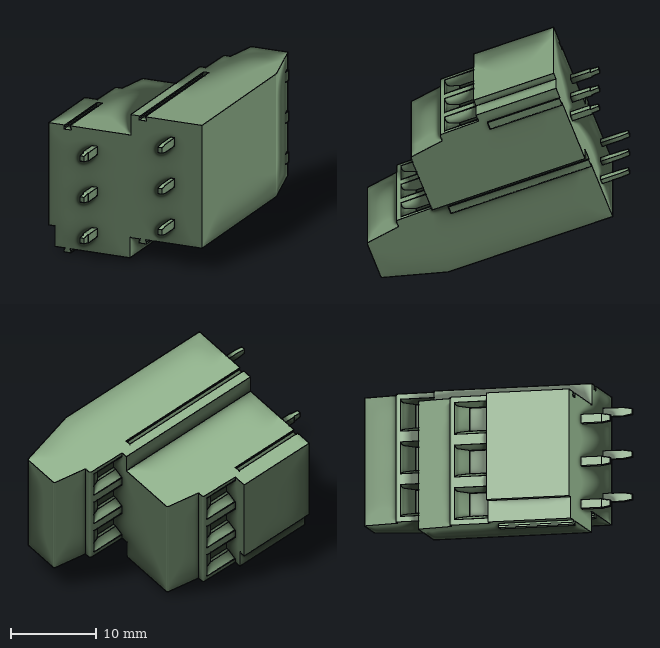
import cadquery as cq


POLES = 3
ROW_LENGTH = 15.25
PITCH = ROW_LENGTH / POLES
ROW_SHIFT = PITCH / 2

WIDTH = 19.85
HEIGHT = 28.2
TIER_STEP_X = 9.75
TIER_STEP_Y = 9.1
TIER_SPLIT_X = 10.62
FOOT_X_MIN = 0.8
FOOT_X_MAX = 10.52

LEDGE_Y = HEIGHT - 2 * TIER_STEP_Y
FACE_X_BOTTOM = 1.62
FACE_X_TOP = 1.7
FACE_TOP_Y = 14.9
SLOPE_X_BOTTOM = 2.55
SLOPE_X_TOP = 3.23
TIER_TOP_Y = HEIGHT - TIER_STEP_Y
EDGE_RADIUS = 0.25

BACK_TOP_X = 17.78
BACK_BOTTOM_Y = 20.57

ENTRY_TOP_Y = 14.3
ENTRY_WIDTH = 3.8
ENTRY_CORNER_X = 2.35
ENTRY_RADIUS = 0.45
HOLE_WIDTH = 2.8
HOLE_START_X = 2.8
HOLE_END_X = 3.17
HOLE_TOP_Y = 12.8

KEY_X = 2.4
KEY_NECK = 0.65
KEY_HEAD = 0.92
KEY_FLARE = 0.3
KEY_DEPTH = 0.5
LOW_KEY_LENGTH = 9.05
HIGH_KEY_LENGTH = 17.55

PIN_LENGTH = 3.5
PIN_SHANK = 2.47
PIN_DEPTH = 1.0
PIN_TIP_DEPTH = 0.65
PIN_TIP_WIDTH = 0.55
LOW_PIN_WIDTH = 0.73
LOW_PIN_X = 5.95
HIGH_PIN_X = 16.05

NUB_X = 18.25
NUB_TOP_Y = 27.4
NUB_WIDTH = 1.27


def slab(points, z_min, length):
    """Polygon in XY extruded along Z."""
    return cq.Workplane("XY").workplane(offset=z_min).polyline(points).close().extrude(length)


def block(x_min, x_max, y_min, y_max, z_min, z_max):
    """Box between the given limits."""
    size = (x_max - x_min, y_max - y_min, z_max - z_min)
    return cq.Workplane("XY").box(*size, centered=False).translate((x_min, y_min, z_min))


def round_edges(body, corners, z_mid):
    """Round the Z-parallel edges that pass through the given XY corners."""
    reach = 0.03
    for x, y in corners:
        around = cq.selectors.BoxSelector(
            (x - reach, y - reach, z_mid - ROW_LENGTH), (x + reach, y + reach, z_mid + ROW_LENGTH)
        )
        body = body.edges("|Z").edges(around).fillet(EDGE_RADIUS)
    return body


def tier_steps(dx, dy):
    """Stepped front of a tier, from its ledge up to its top edge."""
    steps = [
        (FACE_X_BOTTOM, LEDGE_Y),
        (FACE_X_TOP, FACE_TOP_Y),
        (SLOPE_X_BOTTOM, FACE_TOP_Y),
        (SLOPE_X_TOP, TIER_TOP_Y),
    ]
    return [(x + dx, y + dy) for x, y in steps]


def low_tier():
    """Row of the low tier, narrowed to its interlocking foot at the lower end."""
    steps = tier_steps(0, 0)
    outline = [(0, 0), (0, LEDGE_Y)] + steps + [(TIER_SPLIT_X, TIER_TOP_Y), (TIER_SPLIT_X, 0)]
    body = slab(outline, 0, ROW_LENGTH)
    body = round_edges(body, [steps[1], steps[3]], ROW_LENGTH / 2)
    body = body.cut(block(0, FOOT_X_MIN, 0, LEDGE_Y, 0, ROW_SHIFT))
    return body.cut(block(FOOT_X_MAX, TIER_SPLIT_X, 0, TIER_TOP_Y, 0, ROW_SHIFT))


def high_tier():
    """Row of the high tier, with its sloped back."""
    steps = tier_steps(TIER_STEP_X, TIER_STEP_Y)
    back_top = (BACK_TOP_X, HEIGHT)
    outline = [(TIER_SPLIT_X, 0), (TIER_SPLIT_X, TIER_TOP_Y)] + steps
    outline += [back_top, (WIDTH, BACK_BOTTOM_Y), (WIDTH, 0)]
    body = slab(outline, ROW_SHIFT, ROW_LENGTH)
    return round_edges(body, [steps[1], steps[3], back_top], ROW_SHIFT + ROW_LENGTH / 2)


def wire_entry():
    """Funnel with a short rectangular hole behind it, for the low tier, centred on Z = 0."""
    profile = [
        (FACE_X_BOTTOM, LEDGE_Y),
        (FACE_X_BOTTOM, ENTRY_TOP_Y),
        (ENTRY_CORNER_X, ENTRY_TOP_Y),
        (HOLE_START_X, HOLE_TOP_Y),
        (HOLE_START_X, LEDGE_Y),
    ]
    funnel = slab(profile, -ENTRY_WIDTH / 2, ENTRY_WIDTH)
    corner = cq.selectors.NearestToPointSelector((ENTRY_CORNER_X, ENTRY_TOP_Y, 0))
    funnel = funnel.edges("|Z").edges(corner).fillet(ENTRY_RADIUS)
    taper = [
        (FACE_X_BOTTOM, -ENTRY_WIDTH / 2),
        (FACE_X_TOP, -ENTRY_WIDTH / 2),
        (HOLE_START_X, -HOLE_WIDTH / 2),
        (HOLE_START_X, HOLE_WIDTH / 2),
        (FACE_X_TOP, ENTRY_WIDTH / 2),
        (FACE_X_BOTTOM, ENTRY_WIDTH / 2),
    ]
    funnel = funnel.intersect(cq.Workplane("XZ").polyline(taper).close().extrude(-HEIGHT))
    hole = block(HOLE_START_X, HOLE_END_X, LEDGE_Y, HOLE_TOP_Y, -HOLE_WIDTH / 2, HOLE_WIDTH / 2)
    return funnel.union(hole)


def dovetail(x, z, length):
    """Dovetail bar hanging below height z, its neck at the top."""
    half_profile = [(KEY_NECK / 2, 0), (KEY_HEAD / 2, -KEY_FLARE), (KEY_HEAD / 2, -KEY_DEPTH)]
    mirrored = [(-px, pz) for px, pz in reversed(half_profile)]
    bar = cq.Workplane("XZ").polyline(half_profile + mirrored).close().extrude(-length)
    return bar.translate((x, 0, z))


def pin(x, z, shank_width):
    """Solder pin with a straight shank and a tip tapered along Z."""
    shank = block(-shank_width / 2, shank_width / 2, -PIN_SHANK, 0, -PIN_DEPTH / 2, PIN_DEPTH / 2)
    tip = (
        cq.Workplane("YZ")
        .polyline([
            (-PIN_SHANK, -PIN_DEPTH / 2),
            (-PIN_SHANK, PIN_DEPTH / 2),
            (-PIN_LENGTH, PIN_TIP_DEPTH / 2),
            (-PIN_LENGTH, -PIN_TIP_DEPTH / 2),
        ])
        .close()
        .extrude(PIN_TIP_WIDTH / 2, both=True)
    )
    return shank.union(tip).translate((x, 0, z))


def nub(z):
    """Wedge whose outer side is vertical, standing on the sloped back."""
    run = (WIDTH - BACK_TOP_X) / (HEIGHT - BACK_BOTTOM_Y)
    slope_y = HEIGHT - (NUB_X - BACK_TOP_X) / run
    slope_x = BACK_TOP_X + (HEIGHT - NUB_TOP_Y) * run
    wedge = [(slope_x, slope_y), (NUB_X, slope_y), (NUB_X, NUB_TOP_Y), (slope_x, NUB_TOP_Y)]
    return slab(wedge, z - NUB_WIDTH / 2, NUB_WIDTH)


result = low_tier().union(high_tier())

for pole in range(POLES):
    low_z = (pole + 0.5) * PITCH
    high_z = low_z + ROW_SHIFT
    result = result.cut(wire_entry().translate((0, 0, low_z)))
    result = result.cut(wire_entry().translate((TIER_STEP_X, TIER_STEP_Y, high_z)))
    result = result.union(pin(LOW_PIN_X, low_z, LOW_PIN_WIDTH))
    result = result.union(pin(HIGH_PIN_X, high_z, PIN_TIP_WIDTH))
    result = result.union(nub(high_z))

for x, row_z, length in (
    (KEY_X, 0, LOW_KEY_LENGTH),
    (KEY_X + TIER_STEP_X, ROW_SHIFT, HIGH_KEY_LENGTH),
):
    result = result.cut(dovetail(x, row_z + ROW_LENGTH, length))
    result = result.union(dovetail(x, row_z, length))